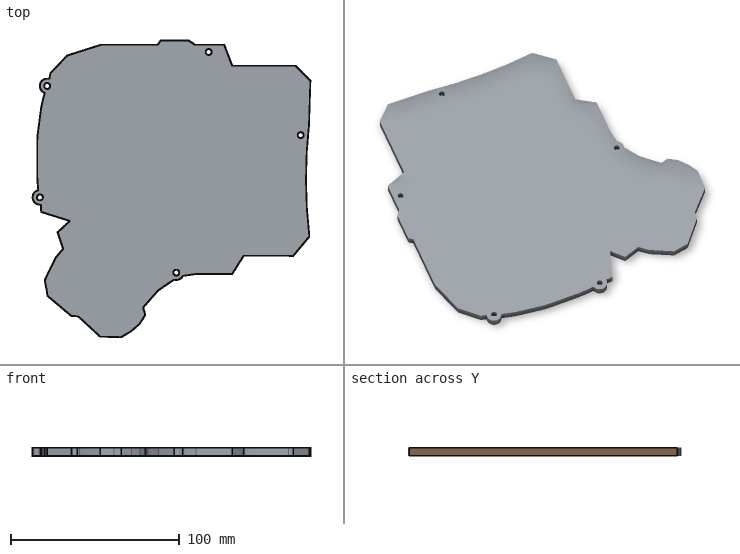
import cadquery as cq


WIDTH = 164.72
LENGTH = 175.88
THICKNESS = 5.0

HOLE_DIAMETER = 3.4
TAB_WALL = 2.7
TAB_RADIUS = HOLE_DIAMETER / 2 + TAB_WALL

UPPER_LEFT_HOLE = (8.7, 148.9)
LOWER_LEFT_HOLE = (TAB_RADIUS, 82.9)
TOP_HOLE = (104.4, 169.0)
RIGHT_HOLE = (158.9, 119.8)
BOTTOM_HOLE = (85.2, 38.3)

TABBED_HOLES = [UPPER_LEFT_HOLE, LOWER_LEFT_HOLE, BOTTOM_HOLE]
HOLES = TABBED_HOLES + [TOP_HOLE, RIGHT_HOLE]

TOP_EDGE_Y = 173.4
TOP_SHOULDER_Y = 160.9
BOTTOM_SHOULDER_Y = 48.2
BOTTOM_EDGE_Y = 37.4
LEFT_EDGE_X = 2.7


LEFT_SIDE = [
    (5.1, 74.2),
    (4.9, 78.8),
    (3.4, 87.0),
    (3.0, 90.9),
    (LEFT_EDGE_X, 96.3),
    (LEFT_EDGE_X, 114.0),
    (2.9, 119.4),
    (5.1, 136.1),
    (6.3, 141.5),
    (7.2, 144.7),
]

TOP_SIDE = [
    (9.9, 153.1),
    (10.6, 156.5),
    (20.6, 167.0),
    (40.7, TOP_EDGE_Y),
    (74.2, TOP_EDGE_Y),
    (75.9, LENGTH),
    (92.6, LENGTH),
    (96.1, TOP_EDGE_Y),
    (113.6, TOP_EDGE_Y),
    (118.4, TOP_SHOULDER_Y),
    (155.9, TOP_SHOULDER_Y),
    (WIDTH, 152.0),
]

RIGHT_ARC_START = (163.9, 126.1)
RIGHT_ARC_MIDDLE = (162.1, 93.3)
RIGHT_ARC_END = (164.1, 59.7)

BOTTOM_SIDE = [
    (154.4, 48.1),
    (151.5, BOTTOM_SHOULDER_Y),
    (125.1, BOTTOM_SHOULDER_Y),
    (118.3, BOTTOM_EDGE_Y),
    (96.6, BOTTOM_EDGE_Y),
    (89.1, 36.3),
    (83.7, 34.0),
    (74.6, 27.8),
    (65.6, 17.7),
]

LOBE = [
    (66.9, 13.3),
    (63.5, 7.9),
    (58.4, 3.5),
    (52.5, 0.0),
    (48.2, 0.1),
    (40.1, 0.3),
    (27.7, 11.8),
    (26.6, 12.4),
    (23.2, 12.6),
    (22.4, 13.1),
    (8.8, 24.6),
    (8.3, 28.1),
    (7.2, 33.9),
    (13.7, 47.2),
    (18.1, 52.4),
    (14.8, 62.2),
    (22.0, 68.9),
]


def make_plate():
    """Plate body inside the outline, without the tabs."""
    outline = cq.Workplane("XY").polyline(LEFT_SIDE + TOP_SIDE + [RIGHT_ARC_START])
    outline = outline.threePointArc(RIGHT_ARC_MIDDLE, RIGHT_ARC_END)
    for point in BOTTOM_SIDE + LOBE:
        outline = outline.lineTo(*point)
    return outline.close().extrude(THICKNESS)


def make_discs(centers, radius):
    """Upright discs of the plate's thickness at the given centers."""
    return cq.Workplane("XY").pushPoints(centers).circle(radius).extrude(THICKNESS)


plate = make_plate().union(make_discs(TABBED_HOLES, TAB_RADIUS))
result = plate.cut(make_discs(HOLES, HOLE_DIAMETER / 2))